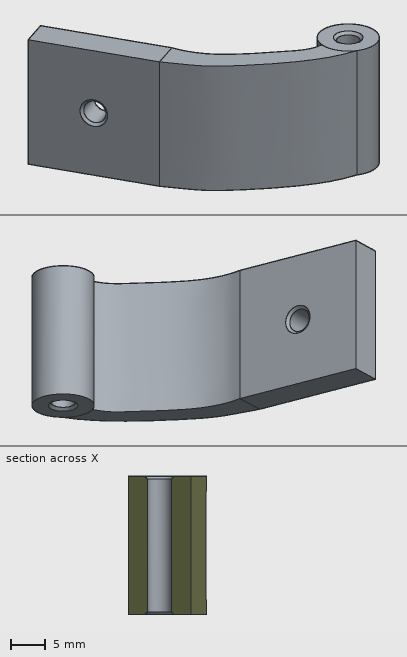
import cadquery as cq
import math

total_length = 47.35
total_depth = 21.8
height = 20.0
plate_length = 20.3
plate_thickness = 5.0
barrel_diameter = 9.0
bore_diameter = 3.4
bore_chamfer = 0.43
joint_y = 13.7

barrel_radius = barrel_diameter / 2
barrel_x = total_length - barrel_radius
barrel_y = total_depth - barrel_radius
joint_half_width = math.sqrt(barrel_radius**2 - (barrel_y - joint_y) ** 2)
inner_joint = (barrel_x - joint_half_width, joint_y)
outer_joint = (barrel_x + joint_half_width, joint_y)

inner_bend = [(23.45, 4.75), (26.27, 5.1), (31.65, 7.35), (36.2, 9.9), (38.5, 11.4)]
outer_bend = [(23.65, 0.45), (27.1, 1.15), (31.65, 3.1), (37.35, 6.25), (41.95, 9.6)]


def make_plate():
    """Flat mounting plate with a chamfered screw hole through its middle."""
    plate = cq.Workplane("XY").box(plate_length, plate_thickness, height, centered=False)
    plate = plate.faces("<Y").workplane(centerOption="CenterOfBoundBox").hole(bore_diameter)
    return plate.edges("%CIRCLE").chamfer(bore_chamfer)


def make_barrel():
    """Upright hinge barrel with a chamfered bore along its axis."""
    return (
        cq.Workplane("XY")
        .center(barrel_x, barrel_y)
        .circle(barrel_radius)
        .circle(bore_diameter / 2)
        .extrude(height)
        .edges(cq.selectors.RadiusNthSelector(0))
        .chamfer(bore_chamfer)
    )


def make_arm():
    """Curved arm from the plate to the barrel, ending on the barrel's round wall."""
    barrel_bottom = (barrel_x, barrel_y - barrel_radius)
    return (
        cq.Workplane("XY")
        .moveTo(plate_length, 0)
        .spline(outer_bend + [outer_joint], includeCurrent=True)
        .threePointArc(barrel_bottom, inner_joint)
        .spline(inner_bend[::-1] + [(plate_length, plate_thickness)], includeCurrent=True)
        .close()
        .extrude(height)
    )


plate = make_plate()
arm = make_arm()
barrel = make_barrel()

result = cq.Compound.makeCompound([plate.val(), arm.val(), barrel.val()])